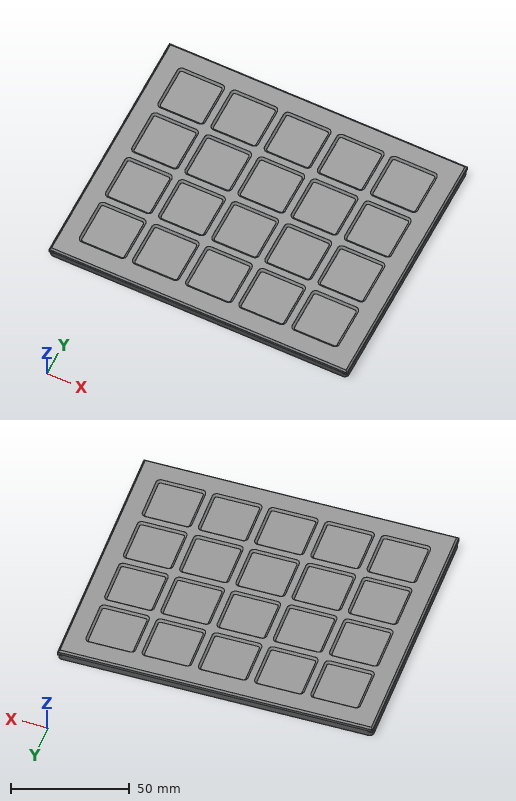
import cadquery as cq

length = 140.0
width = 115.0
height = 4.8

base_height = 2.8
base_corner_radius = 2.0

seat_depth = 0.5
cover_bottom = base_height - seat_depth
cover_height = height - cover_bottom
bevel = 0.77

columns = 5
rows = 4
pocket_size = 22.0
grid_length = 122.0
pocket_pitch = (grid_length - pocket_size) / (columns - 1)
pocket_corner_radius = 2.0
pocket_depth = 1.0
pocket_draft_angle = 45.0


def make_base():
    """Flat plate with rounded vertical corners, standing on Z = 0."""
    plate = cq.Workplane("XY").rect(length, width).extrude(base_height)
    return plate.edges("|Z").fillet(base_corner_radius)


def make_pocket_cutter():
    """Rounded square that narrows downward from the cover's top face."""
    outline = cq.Sketch().rect(pocket_size, pocket_size).vertices().fillet(pocket_corner_radius)
    return (
        cq.Workplane("XY", origin=(0, 0, height))
        .placeSketch(outline)
        .extrude(-pocket_depth, taper=pocket_draft_angle)
    )


def make_cover(base):
    """Square-cornered plate, bevelled and pocketed; its corners reach down past the base's rounded ones."""
    cover = cq.Workplane("XY", origin=(0, 0, cover_bottom)).rect(length, width).extrude(cover_height)
    cover = cover.faces(">Z").chamfer(bevel)

    cutter = make_pocket_cutter()
    for column in range(columns):
        x = (column - (columns - 1) / 2) * pocket_pitch
        for row in range(rows):
            y = (row - (rows - 1) / 2) * pocket_pitch
            cover = cover.cut(cutter.translate((x, y, 0)))
    return cover.cut(base)


base = make_base()
cover = make_cover(base)

result = cq.Compound.makeCompound([base.val(), cover.val()])